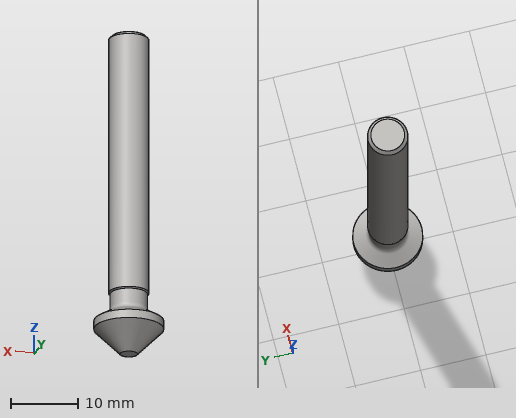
import cadquery as cq
import math

total_length = 50.0
shank_radius = 3.0
top_chamfer = 0.5
shank_bottom = 9.6
neck_radius = 2.8
head_radius = 5.2
tip_radius = 1.3
rim_height = 1.3
shoulder_angle = math.radians(30)
neck_fillet = 1.0

rim_bottom = head_radius - tip_radius
rim_top = rim_bottom + rim_height
neck_top = shank_bottom - (shank_radius - neck_radius)

fillet_sweep = math.pi / 2 - shoulder_angle
fillet_center_radius = neck_radius + neck_fillet
fillet_start_radius = fillet_center_radius - neck_fillet * math.cos(fillet_sweep)
fillet_start_z = rim_top + (head_radius - fillet_start_radius) * math.tan(shoulder_angle)
fillet_end_z = fillet_start_z + neck_fillet * math.sin(fillet_sweep)
fillet_middle = (
    fillet_center_radius - neck_fillet * math.cos(fillet_sweep / 2),
    fillet_end_z - neck_fillet * math.sin(fillet_sweep / 2),
)

profile = (
    cq.Workplane("XZ")
    .lineTo(tip_radius, 0)
    .lineTo(head_radius, rim_bottom)
    .lineTo(head_radius, rim_top)
    .lineTo(fillet_start_radius, fillet_start_z)
    .threePointArc(fillet_middle, (neck_radius, fillet_end_z))
    .lineTo(neck_radius, neck_top)
    .lineTo(shank_radius, shank_bottom)
    .lineTo(shank_radius, total_length - top_chamfer)
    .lineTo(shank_radius - top_chamfer, total_length)
    .lineTo(0, total_length)
    .close()
)

result = profile.revolve(360, (0, 0, 0), (0, 1, 0))